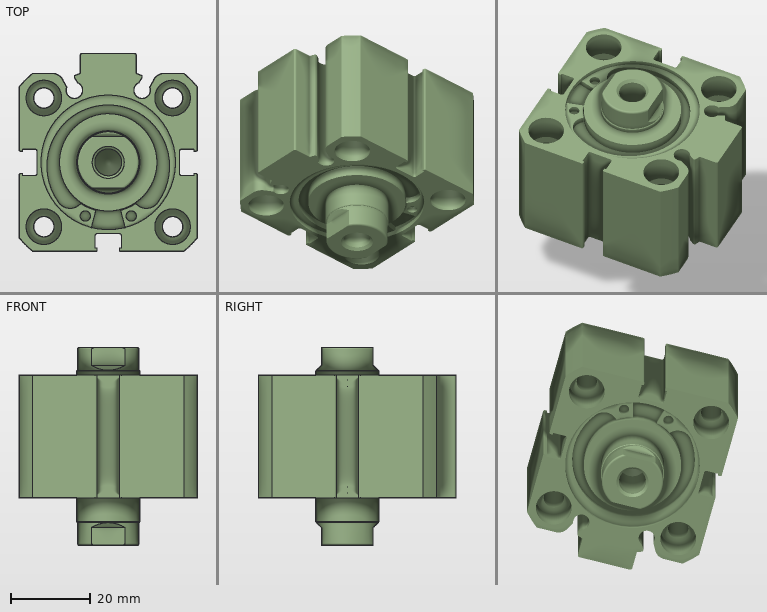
import cadquery as cq
import math


HOUSING_WIDTH = 45.0
HOUSING_HEIGHT = 31.0
HALF_WIDTH = HOUSING_WIDTH / 2
MID_HEIGHT = HOUSING_HEIGHT / 2
CORNER_RADIUS = 29.5
BORE_RADIUS = 17.0

MOUNT_SPACING = 32.5
MOUNT_HOLE_DIAMETER = 5.1
COUNTERBORE_DIAMETER = 9.0
COUNTERBORE_DEPTH = 7.0

SLOT_FLOOR = 18.0
SLOT_HALF_WIDTH = 3.3
SLOT_MOUTH_HALF_WIDTH = 2.8
SLOT_LIP_THICKNESS = 0.9
SLOT_FLOOR_FILLET = 0.5
SLOT_MOUTH_FILLET = 0.35

RAIL_HALF_WIDTH = 7.1
RAIL_TOP = 27.5
RAIL_FILLET = 0.5
EAR_REACH = 8.55
EAR_UPPER = 21.9
EAR_LOWER = 21.4
NECK_POINT = (7.65, 19.95)
NECK_END = (6.75, 19.3)
CHANNEL_FLOOR_RADIUS = 2.05
CHANNEL_FLOOR_CENTER = (EAR_REACH, 18.2)
SHOULDER_RADIUS = 3.0
SHOULDER_CENTER = (14.15, HALF_WIDTH - SHOULDER_RADIUS)
CHANNEL_WALL_ANGLE = 22.0

RING_DEPTH = 1.2
RING_THICKNESS = 1.6
RING_OUTER_RADIUS = 17.75
RING_EYE_RADIUS = 15.5
RING_EYE_OFFSET = 1.0
LUG_INNER_RADIUS = 12.5
LUG_SCALLOP_RADIUS = 3.5
LUG_SCALLOP_X = 9.65
LUG_HOLE_DIAMETER = 2.6
LUG_HOLE_POSITION = (5.8, -13.55)
RING_GAP_ANGLE = 14.5

COLLAR_FLANGE_TOP = RING_DEPTH + RING_THICKNESS
COLLAR_FLANGE_THICKNESS = 8.0
COLLAR_BOSS_RADIUS = 12.3

ROD_RADIUS = 8.0
ROD_TOP = HOUSING_HEIGHT + 7.0
ROD_BOTTOM = -12.0
ROD_LENGTH = ROD_TOP - ROD_BOTTOM
ROD_END_RADIUS = 7.75
ROD_END_LENGTH = 5.85
ROD_STEP_CHAMFER = 0.15
ROD_END_FILLET = 0.5
FLAT_HALF_WIDTH = 6.5
FLAT_LENGTH = 4.5
THREAD_HOLE_RADIUS = 3.4
THREAD_CHAMFER_RADIUS = 4.05
THREAD_HOLE_DEPTH = 13.0
DRILL_POINT_HALF_ANGLE = 59.0
DRILL_POINT_HEIGHT = THREAD_HOLE_RADIUS / math.tan(math.radians(DRILL_POINT_HALF_ANGLE))


def flip_to_bottom(shape):
    """Mirror a body or cutter from the top end to the bottom end of the housing."""
    return shape.mirror("XY", (0, 0, MID_HEIGHT))


def make_slot():
    """Cutter for the slot on the -Y side."""
    lip = -HALF_WIDTH + SLOT_LIP_THICKNESS
    floor_depth = HALF_WIDTH - SLOT_LIP_THICKNESS - SLOT_FLOOR
    pocket = (
        cq.Workplane("XY")
        .center(0, lip + floor_depth / 2)
        .rect(2 * SLOT_HALF_WIDTH, floor_depth)
        .extrude(HOUSING_HEIGHT)
        .edges("|Z and >Y")
        .fillet(SLOT_FLOOR_FILLET)
    )
    flare_start = -HALF_WIDTH + SLOT_MOUTH_FILLET
    flare_half_width = SLOT_MOUTH_HALF_WIDTH + SLOT_MOUTH_FILLET
    bulge = SLOT_MOUTH_FILLET * (1 - math.sqrt(0.5))
    mouth = (
        cq.Workplane("XY")
        .moveTo(-SLOT_MOUTH_HALF_WIDTH, lip)
        .lineTo(-SLOT_MOUTH_HALF_WIDTH, flare_start)
        .threePointArc(
            (-SLOT_MOUTH_HALF_WIDTH - bulge, -HALF_WIDTH + bulge),
            (-flare_half_width, -HALF_WIDTH),
        )
        .lineTo(flare_half_width, -HALF_WIDTH)
        .threePointArc(
            (SLOT_MOUTH_HALF_WIDTH + bulge, -HALF_WIDTH + bulge),
            (SLOT_MOUTH_HALF_WIDTH, flare_start),
        )
        .lineTo(SLOT_MOUTH_HALF_WIDTH, lip)
        .close()
        .extrude(HOUSING_HEIGHT)
    )
    return pocket.union(mouth)


def make_rail_channel():
    """Cutter for the channel between the rail and the +X shoulder."""
    floor_x, floor_y = CHANNEL_FLOOR_CENTER
    shoulder_x, shoulder_y = SHOULDER_CENTER
    lean = math.radians(CHANNEL_WALL_ANGLE)
    wall_top = (
        shoulder_x - SHOULDER_RADIUS * math.cos(lean),
        shoulder_y + SHOULDER_RADIUS * math.sin(lean),
    )
    arc_middle_angle = (lean + math.pi / 2) / 2
    arc_middle = (
        shoulder_x - SHOULDER_RADIUS * math.cos(arc_middle_angle),
        shoulder_y + SHOULDER_RADIUS * math.sin(arc_middle_angle),
    )
    wall_bottom = (
        floor_x + CHANNEL_FLOOR_RADIUS * math.cos(lean),
        floor_y + CHANNEL_FLOOR_RADIUS * math.sin(lean),
    )
    throat = (
        cq.Workplane("XY")
        .moveTo(RAIL_HALF_WIDTH, HALF_WIDTH)
        .lineTo(EAR_REACH, EAR_UPPER)
        .lineTo(EAR_REACH, EAR_LOWER)
        .lineTo(*NECK_POINT)
        .lineTo(*NECK_END)
        .lineTo(floor_x, floor_y)
        .lineTo(*wall_bottom)
        .lineTo(*wall_top)
        .threePointArc(arc_middle, (shoulder_x, HALF_WIDTH))
        .close()
        .extrude(HOUSING_HEIGHT)
    )
    floor = (
        cq.Workplane("XY")
        .center(floor_x, floor_y)
        .circle(CHANNEL_FLOOR_RADIUS)
        .extrude(HOUSING_HEIGHT)
    )
    return throat.union(floor)


def make_ring_groove():
    """Cutter for the retaining ring groove at the top end of the bore."""
    return (
        cq.Workplane("XY", origin=(0, 0, HOUSING_HEIGHT - COLLAR_FLANGE_TOP))
        .circle(RING_OUTER_RADIUS)
        .extrude(RING_THICKNESS)
    )


def make_housing():
    body = cq.Workplane("XY").rect(HOUSING_WIDTH, HOUSING_WIDTH).extrude(HOUSING_HEIGHT)
    body = body.intersect(cq.Workplane("XY").circle(CORNER_RADIUS).extrude(HOUSING_HEIGHT))

    rail = (
        cq.Workplane("XY")
        .center(0, RAIL_TOP / 2)
        .rect(2 * RAIL_HALF_WIDTH, RAIL_TOP)
        .extrude(HOUSING_HEIGHT)
        .edges("|Z and >Y")
        .fillet(RAIL_FILLET)
    )
    channel = make_rail_channel()
    body = body.union(rail).cut(channel).cut(channel.mirror("YZ"))

    slot = make_slot()
    for turn in (-90, 0, 90):
        body = body.cut(slot.rotate((0, 0, 0), (0, 0, 1), turn))

    groove = make_ring_groove()
    body = body.cut(cq.Workplane("XY").circle(BORE_RADIUS).extrude(HOUSING_HEIGHT))
    body = body.cut(groove).cut(flip_to_bottom(groove))

    for face in (">Z", "<Z"):
        body = (
            body.faces(face)
            .workplane(origin=(0, 0, 0))
            .rarray(MOUNT_SPACING, MOUNT_SPACING, 2, 2)
            .cboreHole(MOUNT_HOLE_DIAMETER, COUNTERBORE_DIAMETER, COUNTERBORE_DEPTH)
        )
    return body


def make_collar():
    """Collar at the top end: a flange filling the bore and a boss around the rod."""
    flange_top = HOUSING_HEIGHT - COLLAR_FLANGE_TOP
    flange_bottom = flange_top - COLLAR_FLANGE_THICKNESS
    flange = (
        cq.Workplane("XY", origin=(0, 0, flange_bottom))
        .circle(BORE_RADIUS)
        .circle(ROD_RADIUS)
        .extrude(COLLAR_FLANGE_THICKNESS)
    )
    boss = (
        cq.Workplane("XY", origin=(0, 0, flange_top))
        .circle(COLLAR_BOSS_RADIUS)
        .circle(ROD_RADIUS)
        .extrude(COLLAR_FLANGE_TOP)
    )
    return flange.union(boss)


def make_retaining_ring():
    """Internal retaining ring at the top end, with its two lugs towards -Y."""
    base = cq.Workplane("XY", origin=(0, 0, HOUSING_HEIGHT - COLLAR_FLANGE_TOP))
    disc = base.circle(RING_OUTER_RADIUS).extrude(RING_THICKNESS)

    scallop_drop = math.sqrt((RING_EYE_RADIUS - LUG_SCALLOP_RADIUS) ** 2 - LUG_SCALLOP_X ** 2)
    scallop_y = -RING_EYE_OFFSET - scallop_drop
    scallop_centers = [(-LUG_SCALLOP_X, scallop_y), (LUG_SCALLOP_X, scallop_y)]
    scallops = base.pushPoints(scallop_centers).circle(LUG_SCALLOP_RADIUS).extrude(RING_THICKNESS)

    eye = base.center(0, -RING_EYE_OFFSET).circle(RING_EYE_RADIUS).extrude(RING_THICKNESS)
    sector_drop = 2 * RING_EYE_RADIUS
    sector_half_width = sector_drop * LUG_SCALLOP_X / scallop_drop
    lug_sector = (
        base.center(0, -RING_EYE_OFFSET)
        .polyline([(0, 0), (sector_half_width, -sector_drop), (-sector_half_width, -sector_drop)])
        .close()
        .extrude(RING_THICKNESS)
    )
    inner = base.circle(LUG_INNER_RADIUS).extrude(RING_THICKNESS)
    opening = eye.cut(lug_sector).union(inner).union(scallops)

    gap_half_width = RING_OUTER_RADIUS * math.tan(math.radians(RING_GAP_ANGLE))
    gap = (
        base.polyline([
            (0, 0),
            (gap_half_width, -RING_OUTER_RADIUS),
            (-gap_half_width, -RING_OUTER_RADIUS),
        ])
        .close()
        .extrude(RING_THICKNESS)
    )

    hole_x, hole_y = LUG_HOLE_POSITION
    holes = (
        base.pushPoints([(-hole_x, hole_y), (hole_x, hole_y)])
        .circle(LUG_HOLE_DIAMETER / 2)
        .extrude(RING_THICKNESS)
    )
    return disc.cut(opening).cut(gap).cut(holes)


def make_rod_end_cut():
    """Cutter for the wrench flats and the threaded hole at the top end of the rod."""
    flat_bottom = ROD_TOP - FLAT_LENGTH
    ramp_end = 2 * ROD_RADIUS
    flat = (
        cq.Workplane("YZ", origin=(-ROD_RADIUS, 0, 0))
        .moveTo(FLAT_HALF_WIDTH, ROD_TOP)
        .lineTo(FLAT_HALF_WIDTH, flat_bottom)
        .lineTo(ramp_end, flat_bottom - (ramp_end - FLAT_HALF_WIDTH))
        .lineTo(ramp_end, ROD_TOP)
        .close()
        .extrude(2 * ROD_RADIUS)
    )
    hole_bottom = ROD_TOP - THREAD_HOLE_DEPTH
    hole = (
        cq.Workplane("XZ")
        .moveTo(0, ROD_TOP)
        .lineTo(THREAD_CHAMFER_RADIUS, ROD_TOP)
        .lineTo(THREAD_HOLE_RADIUS, ROD_TOP - (THREAD_CHAMFER_RADIUS - THREAD_HOLE_RADIUS))
        .lineTo(THREAD_HOLE_RADIUS, hole_bottom)
        .lineTo(0, hole_bottom - DRILL_POINT_HEIGHT)
        .close()
        .revolve(360, (0, 0, 0), (0, 1, 0))
    )
    return flat.union(flat.mirror("XZ")).union(hole)


def make_rod():
    shank = (
        cq.Workplane("XY", origin=(0, 0, ROD_BOTTOM + ROD_END_LENGTH))
        .circle(ROD_RADIUS)
        .extrude(ROD_LENGTH - 2 * ROD_END_LENGTH)
        .faces(">Z or <Z")
        .chamfer(ROD_STEP_CHAMFER)
    )
    core = (
        cq.Workplane("XY", origin=(0, 0, ROD_BOTTOM))
        .circle(ROD_END_RADIUS)
        .extrude(ROD_LENGTH)
        .faces(">Z or <Z")
        .edges()
        .fillet(ROD_END_FILLET)
    )
    end_cut = make_rod_end_cut()
    rod_middle = (0, 0, (ROD_TOP + ROD_BOTTOM) / 2)
    return shank.union(core).cut(end_cut).cut(end_cut.mirror("XY", rod_middle))


housing = make_housing()
rod = make_rod()
top_collar = make_collar()
top_ring = make_retaining_ring()

end_bodies = []
for top_body in (top_collar, top_ring):
    end_bodies.append(top_body.val())
    end_bodies.append(flip_to_bottom(top_body).val())

result = cq.Compound.makeCompound([housing.val(), rod.val(), *end_bodies])